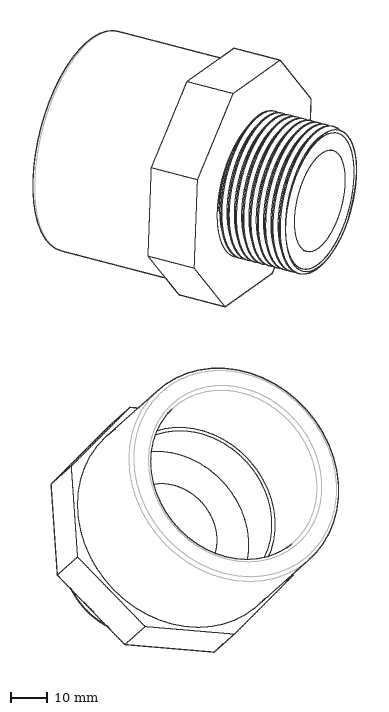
import cadquery as cq
import math

total_length = 74.0
collar_start = 38.0
collar_width = 14.65
collar_end = collar_start + collar_width
spigot_length = total_length - collar_end

sleeve_diameter = 63.0
socket_diameter = 50.0
socket_depth = 31.1
chamber_diameter = 48.0
rim_radius = 1.0

collar_sides = 8
across_flats = 65.0
collar_tilt = 4.0

bore_diameter = 28.9
root_diameter = 38.9
spigot_wall = (root_diameter - bore_diameter) / 2
crest_diameter = 41.95
thread_turns = 9.2
thread_pitch = spigot_length / thread_turns
thread_base_width = 1.9
thread_crest_width = 0.4
root_overlap = 0.15


def cylinder(diameter, start, end):
    """Solid cylinder on the X axis between two stations."""
    return cq.Workplane("YZ", origin=(start, 0, 0)).circle(diameter / 2).extrude(end - start)


def make_sleeve():
    """Outer cylinder with a rounded rim at the mouth."""
    return cylinder(sleeve_diameter, 0, collar_start).faces("<X").edges().fillet(rim_radius)


def make_collar():
    """Octagonal prism, tilted about the X axis."""
    corner_diameter = across_flats / math.cos(math.pi / collar_sides)
    flats_upright = 180 / collar_sides
    return (
        cq.Workplane("YZ", origin=(collar_start, 0, 0))
        .polygon(collar_sides, corner_diameter)
        .extrude(collar_width)
        .rotate((0, 0, 0), (1, 0, 0), flats_upright - collar_tilt)
    )


def make_socket_cut():
    """Straight socket whose mouth flares out with a rounded lip."""
    socket_radius = socket_diameter / 2
    lip_offset = rim_radius * (1 - math.sqrt(0.5))
    return (
        cq.Workplane("XY")
        .moveTo(0, 0)
        .lineTo(0, socket_radius + rim_radius)
        .threePointArc((lip_offset, socket_radius + lip_offset), (rim_radius, socket_radius))
        .lineTo(socket_depth, socket_radius)
        .lineTo(socket_depth, 0)
        .close()
        .revolve(360, (0, 0, 0), (1, 0, 0))
    )


def make_adapter():
    """Sleeve, collar and plain spigot core, with the socket and the through bore."""
    spigot = cylinder(root_diameter, collar_end, total_length)
    chamber = cylinder(chamber_diameter, 0, collar_end - spigot_wall)
    bore = cylinder(bore_diameter, 0, total_length)
    outside = make_sleeve().union(make_collar()).union(spigot)
    return outside.cut(make_socket_cut()).cut(chamber).cut(bore)


def make_thread():
    """Right-handed helical ridge wrapped on the spigot core, cut square at both ends."""
    root_radius = root_diameter / 2
    crest_radius = crest_diameter / 2
    flank_slope = (thread_base_width - thread_crest_width) / 2 / (crest_radius - root_radius)
    half_foot = thread_base_width / 2 + root_overlap * flank_slope
    half_crest = thread_crest_width / 2
    foot_radius = root_radius - root_overlap

    helix_length = spigot_length + 2 * thread_pitch
    helix = cq.Wire.makeHelix(thread_pitch, helix_length, root_radius)
    ridge = (
        cq.Workplane("XZ")
        .polyline([
            (foot_radius, -half_foot),
            (crest_radius, -half_crest),
            (crest_radius, half_crest),
            (foot_radius, half_foot),
        ])
        .close()
        .sweep(cq.Workplane(obj=helix), isFrenet=True)
        .rotate((0, 0, 0), (0, 1, 0), 90)
        .translate((collar_end - thread_pitch, 0, 0))
    )
    envelope = cylinder(crest_diameter + 2 * thread_pitch, collar_end, total_length)
    core = cylinder(root_diameter, collar_start, total_length + thread_pitch)
    return ridge.intersect(envelope).cut(core)


adapter = make_adapter()
thread = make_thread()
result = cq.Compound.makeCompound([*adapter.solids().vals(), *thread.solids().vals()])